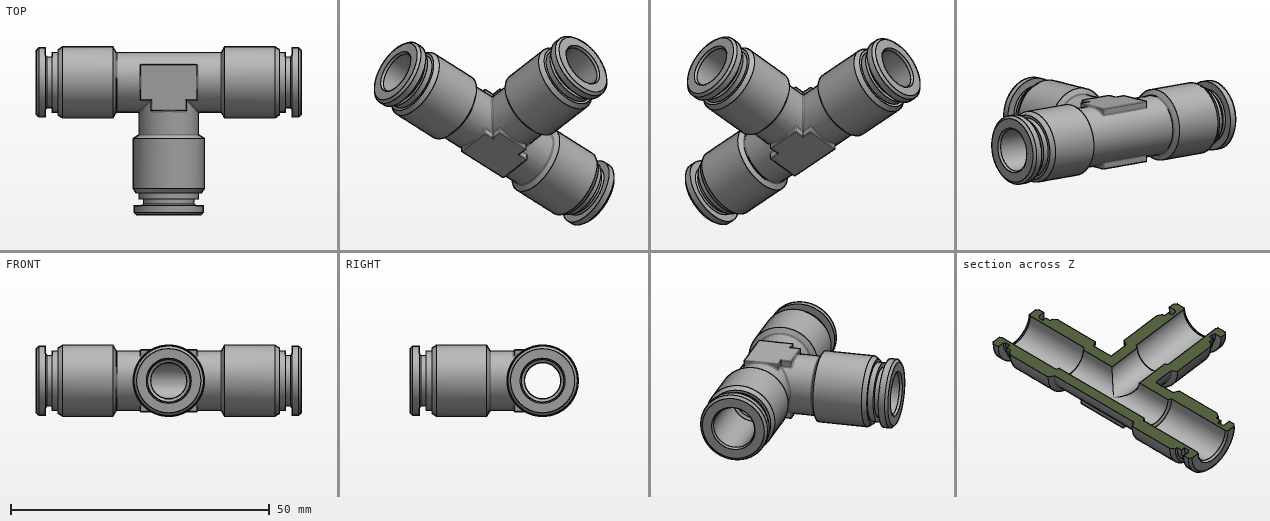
import cadquery as cq
import math

arm_length = 25.6
arm_angles = (0, 180, -90)

body_radius = 6.9
flange_radius = 6.7
tube_radius = 5.8
groove_radius = 4.9

flange_thickness = 1.8
groove_end = 3.05
collar_end = 4.2
body_full_radius_end = 14.8

flange_chamfer = 0.5
groove_root_chamfer = 0.3
body_front_chamfer_length = 0.9
body_front_chamfer_depth = 0.6
body_rear_slope = math.radians(60)
body_root_fillet = 0.2

passage_radius = 3.5
socket_radius = 4.1
socket_depth = 14.35
socket_floor_taper = 0.35
mouth_chamfer_length = 0.5
mouth_chamfer_depth = 0.25

pad_half_length = 5.5
pad_half_width = 3.45
pad_stem_reach = 5.5
pad_half_height = 6.0
pad_corner_fillet = 0.15
pad_rim_fillet = 0.15
crossing_fillet = 0.2
selection_margin = 0.05

cone_depth = body_radius - tube_radius
cone_top = arm_length - body_full_radius_end
cone_root = cone_top - cone_depth / math.tan(body_rear_slope)
root_setback = body_root_fillet * math.tan(body_rear_slope / 2)
tube_end = cone_root - root_setback


def turned(arm, angle):
    """Turn an arm built along +X about the vertical axis."""
    return arm.rotate((0, 0, 0), (0, 0, 1), angle)


def revolve_about_x(profile):
    return profile.close().revolve(360, (0, 0, 0), (1, 0, 0))


def plain_tubes():
    """Solid straight run along X with the branch along -Y, up to the arms' bodies."""
    run = cq.Workplane("YZ").circle(tube_radius).extrude(tube_end, both=True)
    branch = cq.Workplane("XZ").circle(tube_radius).extrude(tube_end)
    return run.union(branch)


def pad_block():
    """T-shaped block whose top and bottom faces form the two pads."""
    height = 2 * pad_half_height
    bar = cq.Workplane("XY").box(2 * pad_half_length, 2 * pad_half_width, height)
    stem = (
        cq.Workplane("XY")
        .center(0, -pad_stem_reach / 2)
        .box(2 * pad_half_width, pad_stem_reach, height)
    )
    block = bar.union(stem).edges("|Z").edges("<X or >X or <Y").fillet(pad_corner_fillet)
    return block.faces("<Z or >Z").edges().fillet(pad_rim_fillet)


def crossing():
    """Plain tubes and pads, with the inside corners between them rounded."""
    solid = plain_tubes().union(pad_block())

    reach = tube_radius - selection_margin
    near_pads = cq.selectors.BoxSelector((-reach, -reach, -reach), (reach, reach, reach))
    upright = cq.selectors.ParallelDirSelector(cq.Vector(0, 0, 1))
    return solid.edges(near_pads - upright).fillet(crossing_fillet)


def arm_shell():
    """Solid body, collar, groove and release flange along +X."""
    fillet_top = (
        cone_root + root_setback * math.cos(body_rear_slope),
        tube_radius + root_setback * math.sin(body_rear_slope),
    )
    body_front = arm_length - collar_end
    groove_back = arm_length - groove_end
    flange_back = arm_length - flange_thickness
    profile = (
        cq.Workplane("XY")
        .moveTo(tube_end, 0)
        .lineTo(tube_end, tube_radius)
        .radiusArc(fillet_top, -body_root_fillet)
        .lineTo(cone_top, body_radius)
        .lineTo(body_front - body_front_chamfer_length, body_radius)
        .lineTo(body_front, body_radius - body_front_chamfer_depth)
        .lineTo(body_front, tube_radius)
        .lineTo(groove_back, tube_radius)
        .lineTo(groove_back, groove_radius)
        .lineTo(flange_back - groove_root_chamfer, groove_radius)
        .lineTo(flange_back, groove_radius + groove_root_chamfer)
        .lineTo(flange_back, flange_radius)
        .lineTo(arm_length - flange_chamfer, flange_radius)
        .lineTo(arm_length, flange_radius - flange_chamfer)
        .lineTo(arm_length, 0)
    )
    return revolve_about_x(profile)


def arm_bore():
    """Passage, wider socket and chamfered mouth along +X."""
    socket_floor = arm_length - socket_depth
    profile = (
        cq.Workplane("XY")
        .lineTo(0, passage_radius)
        .lineTo(socket_floor - socket_floor_taper, passage_radius)
        .lineTo(socket_floor, socket_radius)
        .lineTo(arm_length - mouth_chamfer_length, socket_radius)
        .lineTo(arm_length, socket_radius + mouth_chamfer_depth)
        .lineTo(arm_length, 0)
    )
    return revolve_about_x(profile)


result = crossing()
for angle in arm_angles:
    result = result.union(turned(arm_shell(), angle))
for angle in arm_angles:
    result = result.cut(turned(arm_bore(), angle))